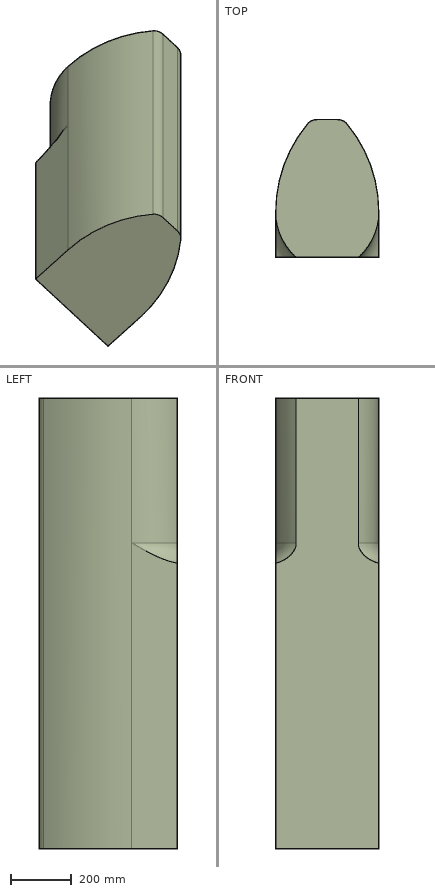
import cadquery as cq
import math

width = 339.0
depth = 453.0
height = 1480.0
half_width = width / 2

shoulder_y = 150.0
flank_radius = 450.0
nose_radius = 40.0

corner_radius = 200.0
step_z = 935.0
root_radius = 70.0
cutter_reach = 2 * corner_radius
cutter_turn = 90.0


def arc_point(center, radius, angle):
    return (center[0] + radius * math.cos(angle), center[1] + radius * math.sin(angle))


def mirrored(point):
    return (-point[0], point[1])


def make_block():
    flank_center = (half_width - flank_radius, shoulder_y)
    nose_center_y = depth - nose_radius
    flank_angle = math.asin((nose_center_y - shoulder_y) / (flank_radius - nose_radius))
    nose_center = arc_point(flank_center, flank_radius - nose_radius, flank_angle)
    nose_middle_angle = (flank_angle + math.pi / 2) / 2

    shoulder = (half_width, shoulder_y)
    flank_middle = arc_point(flank_center, flank_radius, flank_angle / 2)
    flank_end = arc_point(flank_center, flank_radius, flank_angle)
    nose_middle = arc_point(nose_center, nose_radius, nose_middle_angle)
    nose_end = (nose_center[0], depth)

    return (
        cq.Workplane("XY")
        .moveTo(-half_width, 0)
        .lineTo(half_width, 0)
        .lineTo(*shoulder)
        .threePointArc(flank_middle, flank_end)
        .threePointArc(nose_middle, nose_end)
        .lineTo(*mirrored(nose_end))
        .threePointArc(mirrored(nose_middle), mirrored(flank_end))
        .threePointArc(mirrored(flank_middle), mirrored(shoulder))
        .close()
        .extrude(height)
    )


def make_corner_cutter():
    """Quarter ring outside the right-hand relief wall, with a rounded inner bottom edge."""
    center_x = half_width - corner_radius
    wall_x = half_width
    outer_x = center_x + cutter_reach
    root_top = step_z + root_radius
    root_center = (wall_x + root_radius, root_top)
    root_middle_angle = 5 * math.pi / 4
    root_middle = arc_point(root_center, root_radius, root_middle_angle)
    section = (
        cq.Workplane("XZ", origin=(0, shoulder_y, 0))
        .moveTo(wall_x, height)
        .lineTo(wall_x, root_top)
        .threePointArc(root_middle, (root_center[0], step_z))
        .lineTo(outer_x, step_z)
        .lineTo(outer_x, height)
        .close()
    )
    return section.revolve(cutter_turn, (center_x, 0), (center_x, -1))


corner_cutter = make_corner_cutter()
result = make_block().cut(corner_cutter).cut(corner_cutter.mirror("YZ"))